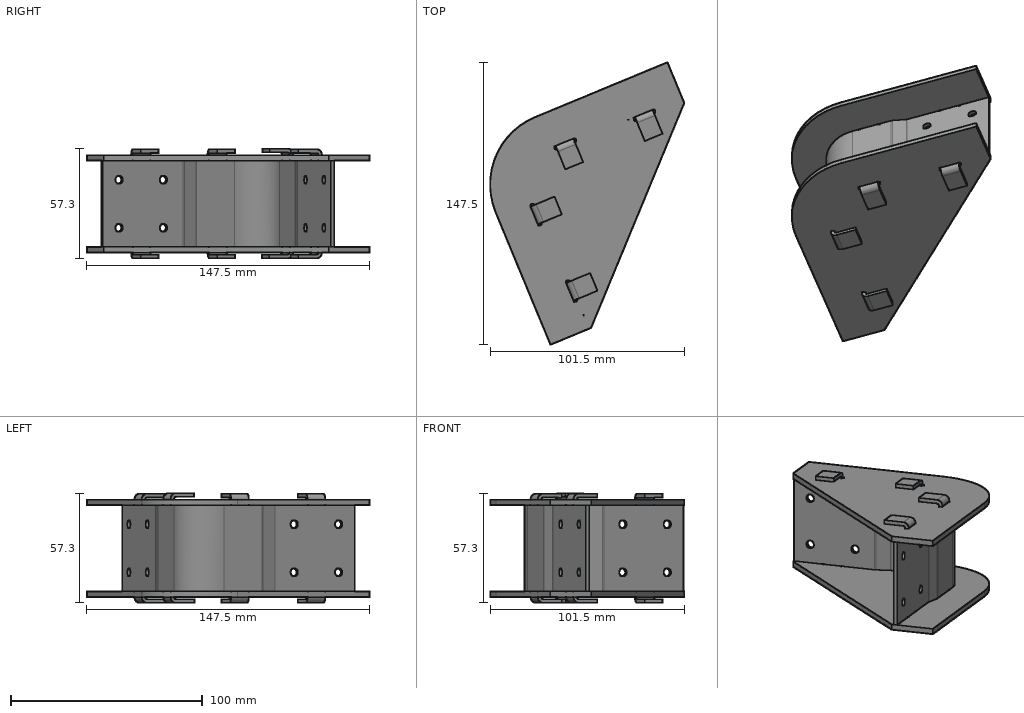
import cadquery as cq
import math

turn_angle = -67.5
overall_span = 147.5
turn = math.radians(-turn_angle)
arm_length = overall_span / (math.sin(turn) + math.cos(turn))

plate_thickness = 3.0
plate_gap = 45.0
plate_tip_width = 23.0
plate_corner_radius = 38.0
plate_inner_z = plate_gap / 2
plate_outer_z = plate_inner_z + plate_thickness

sheet = 2.0
bend_inner_radius = 1.0
bend_outer_radius = bend_inner_radius + sheet
strap_inset = 18.0
jog_depth = 1.9
jog_length = 7.8
jog_start = 53.1
end_inset = strap_inset + jog_depth
strap_corner_radius = plate_corner_radius - strap_inset

hole_diameter = 4.1
hole_tip_distance = 9.1
hole_spacing = 25.0

hook_width = 10.0
hook_reach = 13.5
hook_spacing = 44.0
tall_hook_lift = 0.3
slot_length = hook_width + sheet
end_hook_place = arm_length - hole_tip_distance - hole_spacing / 2
corner_hook_place = end_hook_place - hook_spacing
hook_seats = [(end_hook_place, end_inset), (corner_hook_place, strap_inset)]

second_arm_mirror = cq.Vector(1, -1, 0)


def fillet_upright_edge(body, place, radius):
    return body.edges(cq.selectors.NearestToPointSelector((*place, 0))).fillet(radius)


def make_plate(bottom_z):
    outline = [
        (0, 0),
        (arm_length, 0),
        (arm_length, plate_tip_width),
        (plate_tip_width, arm_length),
        (0, arm_length),
    ]
    plate = cq.Workplane("XY").workplane(offset=bottom_z).polyline(outline).close().extrude(plate_thickness)
    corner = cq.selectors.NearestToPointSelector((0, 0, bottom_z + plate_thickness / 2))
    plate = plate.edges(corner).fillet(plate_corner_radius)
    for place, inset in hook_seats:
        slot = (
            cq.Workplane("XY")
            .workplane(offset=bottom_z)
            .center(place, inset + sheet / 2)
            .slot2D(slot_length, sheet)
            .extrude(plate_thickness)
        )
        plate = plate.cut(slot).cut(slot.mirror(second_arm_mirror))
    return plate


def inside_of_strap(depth, corner_bend_radius, end_bend_radius):
    """Solid bounded by the strap surface that lies at the given depth below its outer face."""
    bend_shift = depth * math.tan(math.atan2(jog_depth, jog_length) / 2)
    jog_near_corner = (arm_length - jog_start - bend_shift, strap_inset + depth)
    jog_near_end = (arm_length - jog_start + jog_length - bend_shift, end_inset + depth)
    arm_end = (arm_length, end_inset + depth)
    corner = (strap_inset + depth, strap_inset + depth)
    first_arm = [jog_near_corner, jog_near_end, arm_end]
    second_arm = [(y, x) for x, y in reversed(first_arm)]
    outline = [corner, *first_arm, (arm_length, arm_length), *second_arm]
    body = cq.Workplane("XY").polyline(outline).close().extrude(plate_inner_z, both=True)
    body = fillet_upright_edge(body, corner, strap_corner_radius - depth)
    for bend, radius in [(jog_near_corner, corner_bend_radius), (jog_near_end, end_bend_radius)]:
        body = fillet_upright_edge(body, bend, radius)
        body = fillet_upright_edge(body, bend[::-1], radius)
    return body


def make_hook(place, inset, lift):
    """Hook on the upper edge of the first arm: a leg through the slot, bent over the plate."""
    bend_z = plate_outer_z + lift
    top_z = bend_z + bend_outer_radius
    bend_y = inset + bend_outer_radius
    tip_y = inset + hook_reach - lift
    half_turn = math.sqrt(0.5)
    outer_mid = (bend_y - bend_outer_radius * half_turn, bend_z + bend_outer_radius * half_turn)
    inner_mid = (bend_y - bend_inner_radius * half_turn, bend_z + bend_inner_radius * half_turn)
    return (
        cq.Workplane("YZ")
        .workplane(offset=place - hook_width / 2)
        .moveTo(inset, plate_inner_z)
        .lineTo(inset, bend_z)
        .threePointArc(outer_mid, (bend_y, top_z))
        .lineTo(tip_y, top_z)
        .lineTo(tip_y, top_z - sheet)
        .lineTo(bend_y, top_z - sheet)
        .threePointArc(inner_mid, (inset + sheet, bend_z))
        .lineTo(inset + sheet, plate_inner_z)
        .close()
        .extrude(hook_width)
    )


def make_bolt_holes():
    """Hole cutters through the end of the first arm."""
    first_hole_x = arm_length - hole_tip_distance
    places = [
        (x, z)
        for x in (first_hole_x, first_hole_x - hole_spacing)
        for z in (-hole_spacing / 2, hole_spacing / 2)
    ]
    return (
        cq.Workplane("XZ", origin=(0, end_inset, 0))
        .pushPoints(places)
        .circle(hole_diameter / 2)
        .extrude(-sheet)
    )


def make_strap():
    outer = inside_of_strap(0, bend_outer_radius, bend_inner_radius)
    inner = inside_of_strap(sheet, bend_inner_radius, bend_outer_radius)
    strap = outer.cut(inner)
    holes = make_bolt_holes()
    strap = strap.cut(holes).cut(holes.mirror(second_arm_mirror))
    for place, inset in hook_seats:
        plain_hook = make_hook(place, inset, 0)
        lift = tall_hook_lift if place == corner_hook_place else 0
        second_arm_hook = make_hook(place, inset, lift).mirror(second_arm_mirror)
        lower_hook = plain_hook.mirror("XY")
        strap = strap.union(plain_hook).union(second_arm_hook)
        strap = strap.union(lower_hook).union(lower_hook.mirror(second_arm_mirror))
    return strap


def turned(body):
    return body.rotate((0, 0, 0), (0, 0, 1), turn_angle)


plates = [turned(make_plate(bottom_z)) for bottom_z in (-plate_outer_z, plate_inner_z)]
strap = turned(make_strap())

result = cq.Compound.makeCompound([strap.val(), *[plate.val() for plate in plates]])